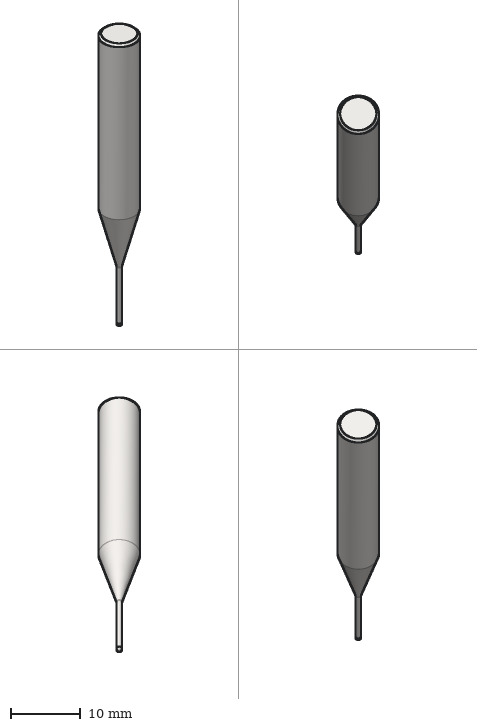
import cadquery as cq

total_length = 50.0
shank_radius = 3.0
end_chamfer = 0.4

tip_radius = 0.425
cutting_length = 0.55

neck_radius = 0.4
neck_top = 10.1
flare_top = 10.25
flare_radius = 0.425
cone_top = 20.05


def revolve_about_z(profile):
    """Turn a closed XZ profile a full revolution about the Z axis."""
    return profile.close().revolve(360, (0, 0, 0), (0, 1, 0))


def make_cutting_tip():
    """Short cylinder with a hemispherical nose at the bottom."""
    nose_mid = tip_radius * 0.5**0.5
    profile = (
        cq.Workplane("XZ")
        .moveTo(0, 0)
        .threePointArc((nose_mid, tip_radius - nose_mid), (tip_radius, tip_radius))
        .lineTo(tip_radius, cutting_length)
        .lineTo(0, cutting_length)
    )
    return revolve_about_z(profile)


def make_shank():
    """Neck, short flare, long cone and chamfered cylindrical shank."""
    profile = (
        cq.Workplane("XZ")
        .moveTo(0, cutting_length)
        .lineTo(neck_radius, cutting_length)
        .lineTo(neck_radius, neck_top)
        .lineTo(flare_radius, flare_top)
        .lineTo(shank_radius, cone_top)
        .lineTo(shank_radius, total_length - end_chamfer)
        .lineTo(shank_radius - end_chamfer, total_length)
        .lineTo(0, total_length)
    )
    return revolve_about_z(profile)


cutting_tip = make_cutting_tip()
shank = make_shank()

result = cq.Compound.makeCompound([cutting_tip.val(), shank.val()])